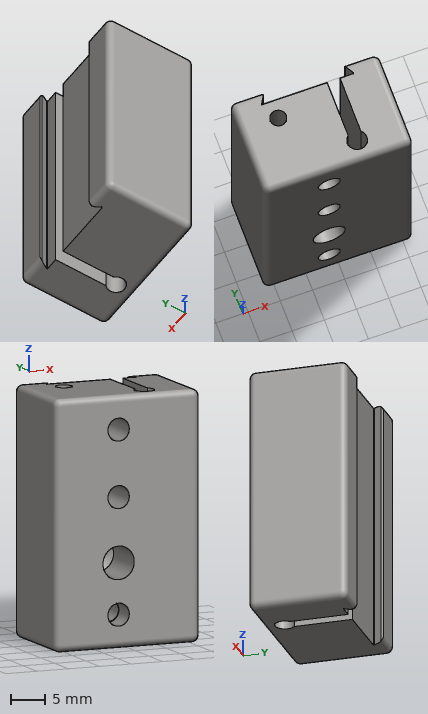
import cadquery as cq
import math

WIDTH = 23.0
DEPTH = 15.0
HEIGHT = 37.4
EDGE_RADIUS = 1.0

CHANNEL_MOUTH_WIDTH = 12.75
CHANNEL_FLOOR_WIDTH = 14.2
CHANNEL_DEPTH = 1.8
MOUTH_LIP = 0.37
FLOOR_LIP = 0.15

SLOT_CENTRE_X = 4.0
SLOT_WIDTH = 2.0
RELIEF_DIAMETER = 3.0
RELIEF_FROM_FRONT = 3.2

DRILL_POINT_ANGLE = 118.0
DRILL_DEPTH = 7.48

FRONT_HOLES_X = -1.5
SMALL_DIAMETER = 3.4
LARGE_DIAMETER = 4.97
END_MARGIN = 5.0
UPPER_PITCH = 10.0
LOWER_PITCH = 7.65

STEPPED_BORE_DIAMETER = 3.25
STEPPED_MOUTH_DEPTH = 3.75

TOP_HOLE_DIAMETER = 2.45
TOP_HOLE_X = -5.6
TOP_HOLE_FROM_BACK = 4.6


def drill(diameter, depth):
    """Cutter with its mouth at the origin, going down -Z to a conical point."""
    radius = diameter / 2
    point_length = radius / math.tan(math.radians(DRILL_POINT_ANGLE / 2))
    profile = [(0, 0), (radius, 0), (radius, -depth), (0, -depth - point_length)]
    return cq.Workplane("XZ").polyline(profile).close().revolve(360, (0, 0, 0), (0, 1, 0))


def front_drill(diameter, depth, z):
    """Cutter entering the front face along +Y at height z."""
    cutter = drill(diameter, depth).rotate((0, 0, 0), (1, 0, 0), 90)
    return cutter.translate((FRONT_HOLES_X, 0, z))


def dovetail_channel():
    floor_y = DEPTH - CHANNEL_DEPTH
    half_mouth = CHANNEL_MOUTH_WIDTH / 2
    half_floor = CHANNEL_FLOOR_WIDTH / 2
    right_side = [
        (half_floor, floor_y),
        (half_floor, floor_y + FLOOR_LIP),
        (half_mouth, DEPTH - MOUTH_LIP),
        (half_mouth, DEPTH),
    ]
    left_side = [(-x, y) for x, y in reversed(right_side)]
    outline = cq.Workplane("XY").polyline(right_side + left_side).close()
    return outline.extrude(HEIGHT / 2, both=True)


def clamping_slot():
    length = DEPTH - RELIEF_FROM_FRONT
    middle_y = RELIEF_FROM_FRONT + length / 2
    slot = cq.Workplane("XY").box(SLOT_WIDTH, length, HEIGHT).translate((SLOT_CENTRE_X, middle_y, 0))
    relief = cq.Workplane("XY").center(SLOT_CENTRE_X, RELIEF_FROM_FRONT).circle(RELIEF_DIAMETER / 2)
    return slot.union(relief.extrude(HEIGHT / 2, both=True))


block = cq.Workplane("XY").box(WIDTH, DEPTH, HEIGHT).translate((0, DEPTH / 2, 0))
block = block.edges().fillet(EDGE_RADIUS)
block = block.cut(dovetail_channel()).cut(clamping_slot())

top_z = HEIGHT / 2 - END_MARGIN
bottom_z = -top_z
for z in (top_z, top_z - UPPER_PITCH):
    block = block.cut(front_drill(SMALL_DIAMETER, DRILL_DEPTH, z))
block = block.cut(front_drill(LARGE_DIAMETER, DRILL_DEPTH, bottom_z + LOWER_PITCH))

mouth = cq.Workplane("XZ").center(FRONT_HOLES_X, bottom_z).circle(SMALL_DIAMETER / 2)
block = block.cut(mouth.extrude(-STEPPED_MOUTH_DEPTH))
block = block.cut(front_drill(STEPPED_BORE_DIAMETER, DRILL_DEPTH, bottom_z))

top_hole = drill(TOP_HOLE_DIAMETER, DRILL_DEPTH)
result = block.cut(top_hole.translate((TOP_HOLE_X, DEPTH - TOP_HOLE_FROM_BACK, HEIGHT / 2)))